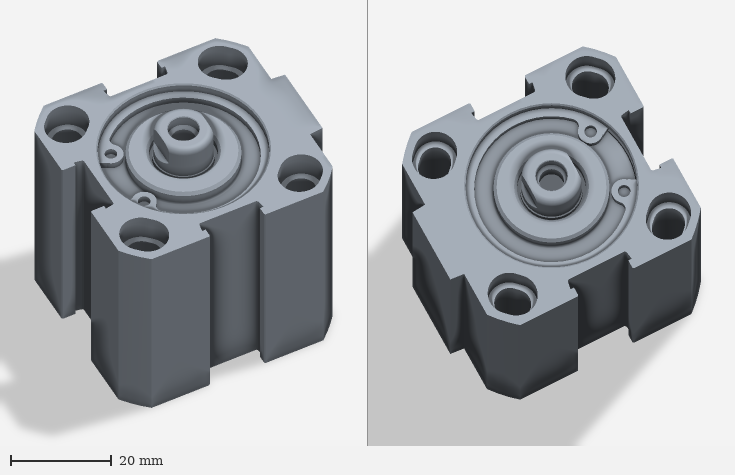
import cadquery as cq
import math


body_width = 46.0
body_depth = 48.05
body_height = 44.45
corner_turn_dia = 60.0
rail_height = 2.95
rail_base_width = 16.5
rail_top_width = 16.0

slot_opening_width = 12.2
slot_wide_width = 13.75
slot_floor_width = 13.15
slot_cavity_depth = 2.0
slot_lip_chamfer = 0.2
slot_corner_cut = 0.25
front_lip = 3.0
side_lip = 2.0

bolt_x = 16.5
bolt_y = 17.5
bolt_hole_dia = 6.25
counterbore_dia = 8.55
counterbore_depth = 5.7
bolt_hole_travel = 1.1
counterbore_travel = 1.45

bore_dia = 34.1
bore_chamfer = 0.3
groove_dia = 35.8

ring_top_depth = 2.05
ring_thickness = 1.5
ring_inner_dia = 30.7
ear_x = 7.1
ear_y = -12.55
ear_dia = 5.0
ear_hole_dia = 2.5
ear_fillet = 1.55

cover_dia = 33.7
cover_thickness = 5.1
collar_dia = 23.0
collar_top_depth = 0.6
collar_chamfer = 0.6
collar_root_fillet = 0.4
rod_recess_dia = 13.7
rod_recess_depth = 2.05
rod_recess_chamfer = 0.55
wiper_lip_dia = 12.55
wiper_lip_depth = 0.8

rod_dia = 12.0
rod_rise = 6.0
rod_fillet = 1.35
flats_width = 10.0
flats_bottom_rise = 1.5
rod_mouth_dia = 6.25
rod_mouth_chamfer = 0.15
rod_mouth_depth = 2.4
rod_bore_dia = 4.9
rod_bore_depth = 6.1

ring_top = body_height - ring_top_depth
cover_top = ring_top - ring_thickness
cover_bottom = cover_top - cover_thickness
collar_top = body_height - collar_top_depth
rod_top = body_height + rod_rise
flats_bottom = body_height + flats_bottom_rise


def cylinder(diameter, bottom, top):
    """Round bar on the rod axis between two levels."""
    return cq.Workplane("XY").workplane(offset=bottom).circle(diameter / 2).extrude(top - bottom)


def revolved(half_profile):
    """Solid of revolution about the rod axis from (radius, level) points."""
    return cq.Workplane("XZ").polyline(half_profile).close().revolve(360, (0, 0, 0), (0, 1, 0))


def t_slot(lip, face_distance, turn):
    """T-slot along Z, cut into the front face and turned about the rod axis."""
    cavity_start = -face_distance + lip
    floor = cavity_start + slot_cavity_depth
    right_side = [
        (slot_opening_width / 2 + slot_lip_chamfer, -face_distance),
        (slot_opening_width / 2, -face_distance + slot_lip_chamfer),
        (slot_opening_width / 2, cavity_start),
        (slot_wide_width / 2, cavity_start),
        (slot_floor_width / 2, floor - slot_corner_cut),
        (slot_floor_width / 2 - slot_corner_cut, floor),
    ]
    left_side = [(-x, y) for x, y in reversed(right_side)]
    cutter = cq.Workplane("XY").polyline(right_side + left_side).close().extrude(body_height)
    return cutter.rotate((0, 0, 0), (0, 0, 1), turn)


def bolt_slot(side_x, side_y, diameter, travel, bottom):
    """Slotted bolt hole, stretched across the diagonal of its corner."""
    return (
        cq.Workplane("XY")
        .workplane(offset=bottom)
        .center(side_x * bolt_x, side_y * bolt_y)
        .slot2D(diameter + travel, diameter, -45 * side_x * side_y)
        .extrude(body_height - bottom)
    )


def make_housing():
    half_depth = body_depth / 2
    counterbore_bottom = body_height - counterbore_depth
    block = cq.Workplane("XY").rect(body_width, body_depth).extrude(body_height)
    block = block.intersect(cylinder(corner_turn_dia, 0, body_height))

    rail = (
        cq.Workplane("XY")
        .polyline([
            (-rail_base_width / 2, 0),
            (rail_base_width / 2, 0),
            (rail_base_width / 2, half_depth),
            (rail_top_width / 2, half_depth + rail_height),
            (-rail_top_width / 2, half_depth + rail_height),
            (-rail_base_width / 2, half_depth),
        ])
        .close()
        .extrude(body_height)
    )
    block = block.union(rail)

    block = block.cut(t_slot(front_lip, half_depth, 0))
    for turn in (-90, 90):
        block = block.cut(t_slot(side_lip, body_width / 2, turn))

    for side_x in (-1, 1):
        for side_y in (-1, 1):
            block = block.cut(bolt_slot(side_x, side_y, bolt_hole_dia, bolt_hole_travel, 0))
            block = block.cut(
                bolt_slot(side_x, side_y, counterbore_dia, counterbore_travel, counterbore_bottom)
            )

    bore_radius = bore_dia / 2
    bore = revolved([
        (0, cover_bottom),
        (bore_radius, cover_bottom),
        (bore_radius, cover_top),
        (groove_dia / 2, cover_top),
        (groove_dia / 2, ring_top),
        (bore_radius, ring_top),
        (bore_radius, body_height - bore_chamfer),
        (bore_radius + bore_chamfer, body_height),
        (0, body_height),
    ])
    return block.cut(bore)


def make_retaining_ring():
    ear_places = [(-ear_x, ear_y), (ear_x, ear_y)]
    base = cq.Workplane("XY").workplane(offset=cover_top)
    ring = base.circle(groove_dia / 2).circle(ring_inner_dia / 2).extrude(ring_thickness)
    ears = base.pushPoints(ear_places).circle(ear_dia / 2).extrude(ring_thickness)
    ring = ring.union(ears)

    ear_distance = math.hypot(ear_x, ear_y)
    apex_y = -ear_dia / 2 * ear_distance / ear_x
    gap_x = (apex_y + groove_dia) * ear_x / -ear_y
    gap = (
        base.polyline([(0, apex_y), (gap_x, -groove_dia), (-gap_x, -groove_dia)])
        .close()
        .extrude(ring_thickness)
    )
    ring = ring.cut(gap)

    inner_radius = ring_inner_dia / 2
    along = (inner_radius ** 2 + ear_distance ** 2 - (ear_dia / 2) ** 2) / (2 * inner_radius * ear_distance)
    corner_angle = math.atan2(ear_x, -ear_y) + math.acos(along)
    corner_x = inner_radius * math.sin(corner_angle)
    corner_y = -inner_radius * math.cos(corner_angle)
    middle = cover_top + ring_thickness / 2
    for x in (-corner_x, corner_x):
        ring = ring.edges(cq.selectors.NearestToPointSelector((x, corner_y, middle))).fillet(ear_fillet)

    holes = base.pushPoints(ear_places).circle(ear_hole_dia / 2).extrude(ring_thickness)
    return ring.cut(holes)


def make_head_cover():
    plate = cylinder(cover_dia, cover_bottom, cover_top)
    collar_radius = collar_dia / 2
    collar = (
        cq.Workplane("XZ")
        .moveTo(0, cover_top)
        .lineTo(collar_radius + collar_root_fillet, cover_top)
        .radiusArc((collar_radius, cover_top + collar_root_fillet), collar_root_fillet)
        .lineTo(collar_radius, collar_top - collar_chamfer)
        .lineTo(collar_radius - collar_chamfer, collar_top)
        .lineTo(0, collar_top)
        .close()
        .revolve(360, (0, 0, 0), (0, 1, 0))
    )
    cover = plate.union(collar)

    recess_radius = rod_recess_dia / 2
    lip_top = collar_top - wiper_lip_depth
    recess_floor = collar_top - rod_recess_depth
    rod_hole = revolved([
        (0, cover_bottom),
        (rod_dia / 2, cover_bottom),
        (rod_dia / 2, lip_top),
        (wiper_lip_dia / 2, lip_top),
        (wiper_lip_dia / 2, recess_floor),
        (recess_radius, recess_floor),
        (recess_radius, collar_top - rod_recess_chamfer),
        (recess_radius + rod_recess_chamfer, collar_top),
        (0, collar_top),
    ])
    return cover.cut(rod_hole)


def make_rod():
    rod = cylinder(rod_dia, cover_bottom, rod_top).faces(">Z").edges().fillet(rod_fillet)

    half_flats = flats_width / 2
    runout = rod_dia / 2 - half_flats
    for side in (-1, 1):
        flat = (
            cq.Workplane("YZ")
            .polyline([
                (side * half_flats, flats_bottom),
                (side * half_flats, rod_top),
                (side * (half_flats + 2 * runout), rod_top),
                (side * (half_flats + 2 * runout), flats_bottom - 2 * runout),
            ])
            .close()
            .extrude(rod_dia / 2, both=True)
        )
        rod = rod.cut(flat)

    mouth_radius = rod_mouth_dia / 2
    bore_radius = rod_bore_dia / 2
    mouth_bottom = rod_top - rod_mouth_depth
    bore = revolved([
        (0, rod_top - rod_bore_depth),
        (bore_radius, rod_top - rod_bore_depth),
        (bore_radius, mouth_bottom - (mouth_radius - bore_radius)),
        (mouth_radius, mouth_bottom),
        (mouth_radius, rod_top - rod_mouth_chamfer),
        (mouth_radius + rod_mouth_chamfer, rod_top),
        (0, rod_top),
    ])
    return rod.cut(bore)


housing = make_housing()
retaining_ring = make_retaining_ring()
head_cover = make_head_cover()
rod = make_rod()

result = cq.Compound.makeCompound([
    housing.val(),
    retaining_ring.val(),
    head_cover.val(),
    rod.val(),
])